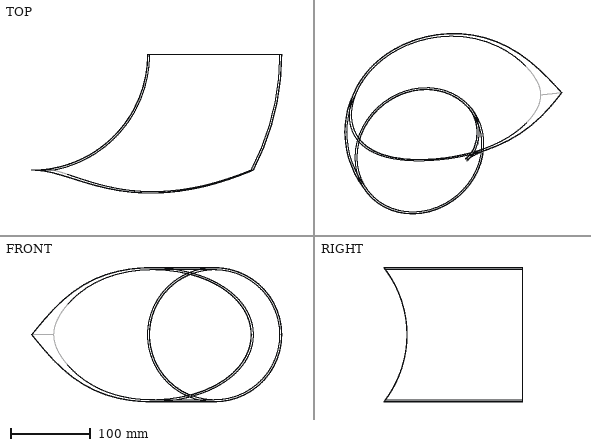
import cadquery as cq

overall_length = 313.0
pipe_diameter = 168.2
wall = 2.6
header_radius = 136.5
bend_angle = 90.0

pipe_radius = pipe_diameter / 2
bend_radius = overall_length - pipe_radius
throat_radius = bend_radius - pipe_radius
header_axis_y = -(throat_radius + header_radius)


def make_elbow():
    """Hollow pipe bend about the Z axis, from the flat end at Y = 0 round to X = 0."""
    ring = cq.Workplane("XZ").center(bend_radius, 0).circle(pipe_radius).circle(pipe_radius - wall)
    return ring.revolve(bend_angle, (-bend_radius, 0, 0), (-bend_radius, -1, 0))


def make_header():
    """Solid cylinder along X that fills the space of the header pipe."""
    overhang = pipe_radius
    return (
        cq.Workplane("YZ", origin=(-overhang, 0, 0))
        .center(header_axis_y, 0)
        .circle(header_radius)
        .extrude(overall_length + 2 * overhang)
    )


result = make_elbow().cut(make_header())